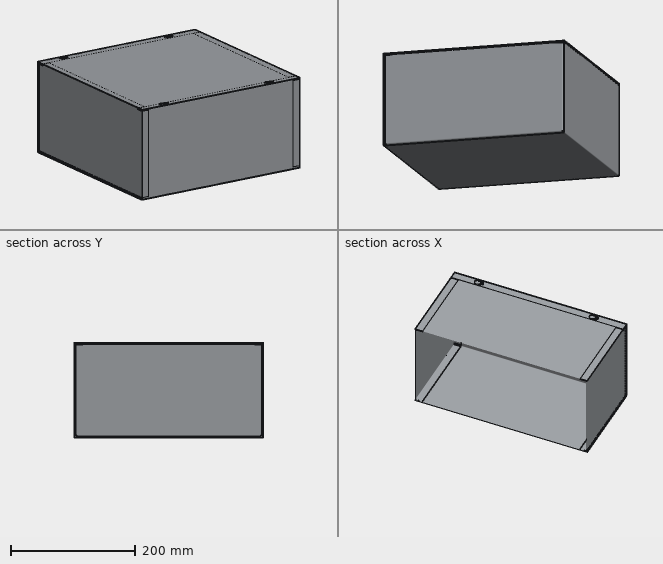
import cadquery as cq
import math

width = 304.8
depth = 304.8
height = 154.0
sheet = 1.45
wrap_height = height - sheet

bend_outer = 2.2
bend_inner = bend_outer - sheet

wrap_flange = 12.8

panel_flange = 12.8
panel_side_inset = 1.8
panel_base = 2.0
top_flange_inset = 14.3

keyhole_spacing_x = 291.0
keyhole_spacing_y = 203.3
keyhole_centre_y = -7.0
keyhole_diameter = 10.0
slot_width = 7.0
slot_rise = 6.7
screw_hole_diameter = 4.0

keyhole_points = [
    (side * keyhole_spacing_x / 2, keyhole_centre_y + end * keyhole_spacing_y / 2)
    for side in (-1, 1)
    for end in (-1, 1)
]
slot_middle_points = [(x, y + slot_rise / 2) for x, y in keyhole_points]
slot_end_points = [(x, y + slot_rise) for x, y in keyhole_points]


def make_back_plate():
    """Flat plate closing the top, with four keyholes for hanging."""
    base = cq.Workplane("XY", origin=(0, 0, wrap_height))
    heads = base.pushPoints(keyhole_points).circle(keyhole_diameter / 2).extrude(sheet)
    slots = (
        base.pushPoints(slot_middle_points)
        .slot2D(slot_rise + slot_width, slot_width, 90).extrude(sheet)
    )
    return base.rect(width, depth).extrude(sheet).cut(heads).cut(slots)


def make_wrapper():
    """Bottom and both sides in one bent sheet, with flanges turned in under the back plate."""
    half_height = wrap_height / 2
    outer = (
        cq.Workplane("XY").box(width, depth, wrap_height, centered=(True, True, False))
        .edges("|Y").fillet(bend_outer)
    )
    inner = (
        cq.Workplane("XY", origin=(0, 0, sheet))
        .box(width - 2 * sheet, depth, wrap_height - 2 * sheet, centered=(True, True, False))
        .edges("|Y").fillet(bend_inner)
    )
    opening = cq.Workplane("XY", origin=(0, 0, half_height)).box(
        width - 2 * wrap_flange, depth, wrap_height, centered=(True, True, False)
    )
    screw_holes = (
        cq.Workplane("XY", origin=(0, 0, half_height))
        .pushPoints(slot_end_points).circle(screw_hole_diameter / 2).extrude(wrap_height)
    )
    return outer.cut(inner).cut(opening).cut(screw_holes)


def bent_flange(length):
    """Bend and flange along X; the bend starts at z = 0 on a face lying at y = 0."""
    middle = math.sqrt(0.5)
    return (
        cq.Workplane("YZ", origin=(-length / 2, 0, 0))
        .moveTo(0, 0)
        .threePointArc((bend_outer * (1 - middle), bend_outer * middle), (bend_outer, bend_outer))
        .lineTo(panel_flange, bend_outer)
        .lineTo(panel_flange, bend_inner)
        .lineTo(bend_outer, bend_inner)
        .threePointArc((bend_outer - bend_inner * middle, bend_inner * middle), (sheet, 0))
        .close()
        .extrude(length)
    )


def make_end_panel():
    """Panel for the -Y end: a flat face with a flange turned inward on each of its four sides."""
    face_width = width - 2 * (panel_side_inset + bend_outer)
    face_bottom = panel_base + bend_outer
    face_top = wrap_height - bend_outer
    face_height = face_top - face_bottom
    face_middle = (face_top + face_bottom) / 2

    panel = cq.Workplane("XY").box(face_width, sheet, face_height, centered=(True, False, True))
    flanges = [
        (0, width - 2 * top_flange_inset, face_height / 2),
        (90, face_height, face_width / 2),
        (180, face_width, face_height / 2),
        (270, face_height, face_width / 2),
    ]
    for angle, length, reach in flanges:
        flange = bent_flange(length).translate((0, 0, reach))
        panel = panel.union(flange.rotate((0, 0, 0), (0, 1, 0), angle))
    return panel.translate((0, -depth / 2, face_middle))


back_plate = make_back_plate()
wrapper = make_wrapper()
end_panels = [
    make_end_panel().rotate((0, 0, 0), (0, 0, 1), turn)
    for turn in (0, 180)
]

result = cq.Compound.makeCompound(
    [back_plate.val(), wrapper.val(), *[panel.val() for panel in end_panels]]
)